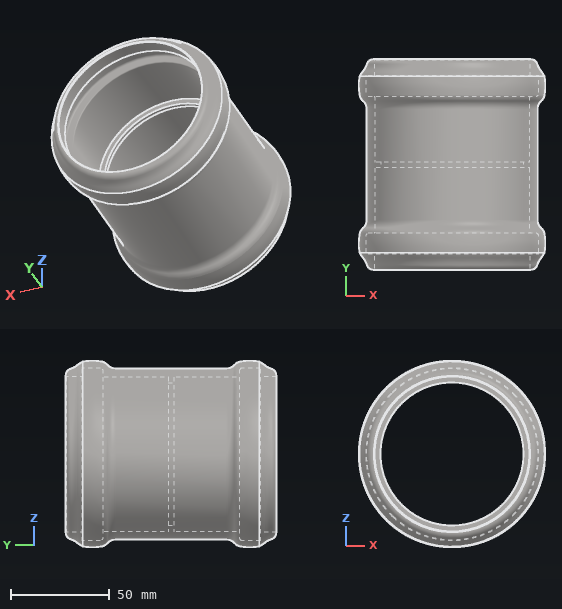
import cadquery as cq

length = 107.0
half_length = length / 2

bead_radius = 47.4
bead_shoulder_radius = 47.0
tube_radius = 87.0 / 2
neck_radius = 43.3
outer_bend_radius = 45.0
inner_bend_radius = 45.4

rim_round = 3.9

rim_depth = 2.7
outer_bend_depth = 5.9
bead_start_depth = 8.8
bead_end_depth = 18.4
inner_bend_depth = 21.2
tube_start_depth = 25.4

mouth_radius = 78.8 / 2
mouth_chamfer = 0.3
groove_radius = 87.6 / 2
groove_start_depth = 8.3
groove_end_depth = 18.8
groove_round = 1.4
bore_radius = 78.4 / 2
bore_round = 0.7

stop_radius = 72.4 / 2
stop_width = 2.6


def station(radius, depth):
    """Profile point at a radius from the axis and a distance in from the end face."""
    return (radius, half_length - depth)


def socket():
    """Revolve the wall of the +Y socket, from the plain tube to the end face."""
    bead_middle_depth = (bead_start_depth + bead_end_depth) / 2

    profile = (
        cq.Workplane("XY")
        .moveTo(*station(mouth_radius + mouth_chamfer, 0))
        .radiusArc(station(neck_radius, rim_depth), rim_round)
        .tangentArcPoint(station(outer_bend_radius, outer_bend_depth), relative=False)
        .tangentArcPoint(station(bead_shoulder_radius, bead_start_depth), relative=False)
        .threePointArc(
            station(bead_radius, bead_middle_depth),
            station(bead_shoulder_radius, bead_end_depth),
        )
        .tangentArcPoint(station(inner_bend_radius, inner_bend_depth), relative=False)
        .tangentArcPoint(station(tube_radius, tube_start_depth), relative=False)
    )

    profile = (
        profile.lineTo(*station(bore_radius, tube_start_depth))
        .lineTo(*station(bore_radius, groove_end_depth + bore_round))
        .radiusArc(station(bore_radius + bore_round, groove_end_depth), bore_round)
        .lineTo(*station(groove_radius - groove_round, groove_end_depth))
        .radiusArc(station(groove_radius, groove_end_depth - groove_round), -groove_round)
        .lineTo(*station(groove_radius, groove_start_depth))
        .lineTo(*station(mouth_radius, groove_start_depth))
        .lineTo(*station(mouth_radius, mouth_chamfer))
        .close()
    )
    return profile.revolve(360, (0, 0, 0), (0, 1, 0))


def ring(outer_radius, inner_radius, width):
    """Plain ring around Y, centred on the middle of the coupling."""
    return (
        cq.Workplane("XZ")
        .circle(outer_radius)
        .circle(inner_radius)
        .extrude(width / 2, both=True)
    )


tube = ring(tube_radius, bore_radius, length - 2 * tube_start_depth)
pipe_stop = ring(tube_radius, stop_radius, stop_width)
end_socket = socket()

result = tube.union(pipe_stop).union(end_socket).union(end_socket.mirror("XZ")).clean()